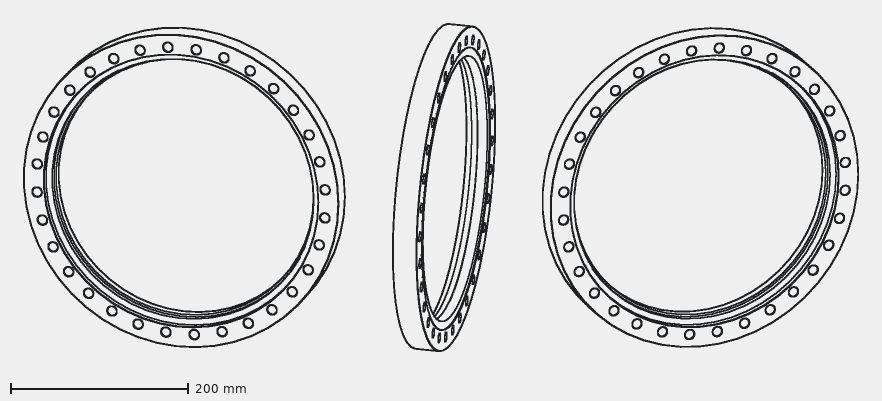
import cadquery as cq

outer_diameter = 368.3
flange_thickness = 28.0
flange_bore_diameter = 320.5
edge_chamfer = 0.5

bolt_count = 32
bolt_circle_diameter = 338.0
bolt_hole_diameter = 10.5
bolt_pitch = 360.0 / bolt_count
bolt_pattern_turn = -0.4

front_setback = 8.0
back_setback = 1.0
insert_thickness = flange_thickness - front_setback - back_setback
insert_bore_diameter = 301.0
counterbore_diameter = 306.0
counterbore_depth = 7.5


def disc(diameter, front, thickness):
    """Solid disc on the ring axis, from y = front toward +Y."""
    plane = cq.Workplane("XZ", origin=(0, front, 0))
    return plane.circle(diameter / 2).extrude(-thickness)


def bolt_cutter():
    """All bolt-hole cylinders, running through the full flange thickness."""
    first_angle = bolt_pattern_turn + bolt_pitch / 2
    return (
        cq.Workplane("XZ")
        .polarArray(bolt_circle_diameter / 2, first_angle, 360, bolt_count)
        .circle(bolt_hole_diameter / 2)
        .extrude(-flange_thickness)
    )


def make_flange():
    """Drilled outer ring with chamfers on every front edge and on the back outer edge."""
    blank = disc(outer_diameter, 0, flange_thickness)
    ring = blank.cut(disc(flange_bore_diameter, 0, flange_thickness)).cut(bolt_cutter())
    ring = ring.faces("<Y").edges().chamfer(edge_chamfer)
    back_outer_edge = ring.faces(">Y").edges(cq.selectors.RadiusNthSelector(-1))
    return back_outer_edge.chamfer(edge_chamfer)


def make_insert():
    """Inner ring with a wider counterbore at the front of its bore."""
    blank = disc(flange_bore_diameter, front_setback, insert_thickness)
    ring = blank.cut(disc(insert_bore_diameter, front_setback, insert_thickness))
    return ring.cut(disc(counterbore_diameter, front_setback, counterbore_depth))


flange = make_flange()
insert = make_insert()
result = cq.Compound.makeCompound([flange.val(), insert.val()])